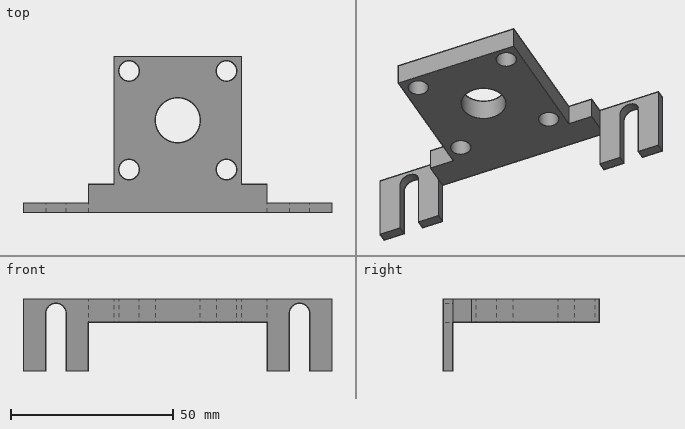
import cadquery as cq

flange_length = 95.0
flange_height = 22.24
flange_thickness = 3.0
leg_width = 20.0
slot_width = 6.25
slot_spacing = 75.0
slot_top_margin = 1.375

plate_thickness = 7.24
plate_side = 39.4
shoulder_depth = 5.77

bore_diameter = 13.8
bolt_hole_diameter = 6.25
bolt_spacing_x = 30.0
bolt_spacing_y = 30.35

shoulder_width = flange_length - 2 * leg_width
shoulder_back = flange_thickness + shoulder_depth
plate_center_y = shoulder_back + plate_side / 2
slot_radius = slot_width / 2
slot_arc_z = -slot_top_margin - slot_radius


def block(width, y_start, y_end, height):
    """Box centred on X, hanging down from Z = 0."""
    box = cq.Workplane("XY").box(width, y_end - y_start, height, centered=(True, False, False))
    return box.translate((0, y_start, -height))


def open_slot(x):
    """Round-topped slot through the flange, open at the bottom."""
    return (
        cq.Workplane("XZ")
        .moveTo(x - slot_radius, -flange_height)
        .lineTo(x - slot_radius, slot_arc_z)
        .threePointArc((x, slot_arc_z + slot_radius), (x + slot_radius, slot_arc_z))
        .lineTo(x + slot_radius, -flange_height)
        .close()
        .extrude(-flange_thickness)
    )


flange = block(flange_length, 0, flange_thickness, flange_height)
leg_gap = block(shoulder_width, 0, flange_thickness, flange_height).translate((0, 0, -plate_thickness))
flange = flange.cut(leg_gap)
for slot_x in (-slot_spacing / 2, slot_spacing / 2):
    flange = flange.cut(open_slot(slot_x))

shoulder = block(shoulder_width, 0, shoulder_back, plate_thickness)
plate = block(plate_side, 0, shoulder_back + plate_side, plate_thickness)
body = flange.union(shoulder).union(plate)

hole_plane = cq.Workplane("XY").center(0, plate_center_y)
bore = hole_plane.circle(bore_diameter / 2).extrude(-plate_thickness)
bolt_holes = (
    hole_plane.rect(bolt_spacing_x, bolt_spacing_y, forConstruction=True)
    .vertices()
    .circle(bolt_hole_diameter / 2)
    .extrude(-plate_thickness)
)

result = body.cut(bore).cut(bolt_holes)